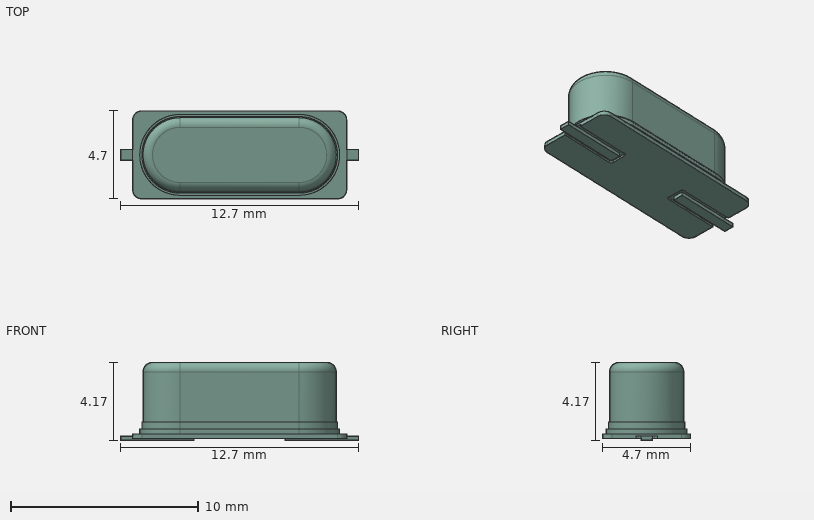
import cadquery as cq

overall_length = 12.7
lead_length = 3.92
lead_width = 0.6
lead_thickness = 0.23

base_length = 11.43
base_width = 4.7
base_corner_radius = 0.5
base_bottom = 0.1
base_top = 0.34

pocket_side_gap = 0.27
pocket_end_gap = pocket_side_gap
pocket_corner_radius = 0.14

arc_centre_distance = 6.35
flange_width = 4.32
flange_top = 0.61
collar_width = 4.09
collar_top = 0.99
can_width = 3.96
can_top = 4.17
can_edge_radius = 0.51


def tier(width, bottom, top):
    """Round-ended block along X between two heights."""
    outline = cq.Workplane("XY").workplane(offset=bottom).slot2D(arc_centre_distance + width, width)
    return outline.extrude(top - bottom)


def block(length, width, bottom, top, centre_x=0):
    """Rectangular block centred on the X axis between two heights."""
    outline = cq.Workplane("XY").workplane(offset=bottom).center(centre_x, 0).rect(length, width)
    return outline.extrude(top - bottom)


base = block(base_length, base_width, base_bottom, base_top).edges("|Z").fillet(base_corner_radius)

lead_centre = (overall_length - lead_length) / 2
pocket_length = lead_length + pocket_end_gap
pocket_centre = lead_centre - pocket_end_gap / 2
pocket_width = lead_width + 2 * pocket_side_gap

for side in (-1, 1):
    pocket = block(pocket_length, pocket_width, base_bottom, lead_thickness, side * pocket_centre)
    pocket = pocket.edges("|Z").fillet(pocket_corner_radius)
    lead = block(lead_length, lead_width, 0, lead_thickness, side * lead_centre)
    base = base.cut(pocket).union(lead)

flange = tier(flange_width, base_top, flange_top)
collar = tier(collar_width, flange_top, collar_top)
can = tier(can_width, collar_top, can_top).faces(">Z").edges().fillet(can_edge_radius)

result = base.union(flange).union(collar).union(can)